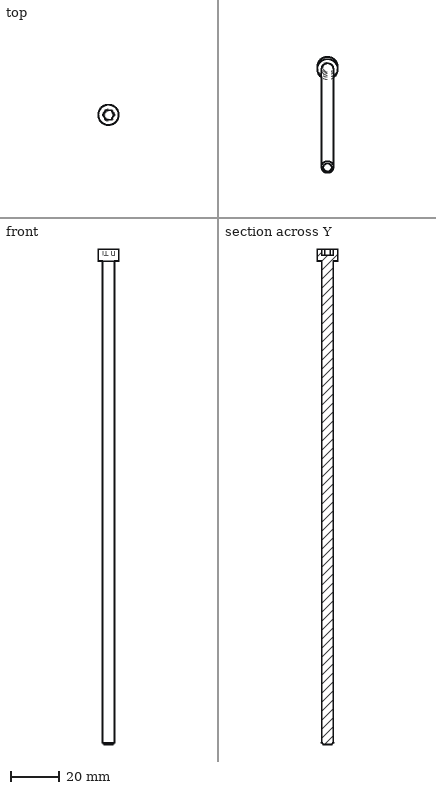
import cadquery as cq

HEAD_DIAMETER = 8.5
HEAD_HEIGHT = 5.0
SHANK_DIAMETER = 5.0
SHANK_LENGTH = 200.0
THREAD_LENGTH = 22.0
TIP_CHAMFER = 0.8
SOCKET_ACROSS_FLATS = 4.0
SOCKET_DEPTH = HEAD_HEIGHT / 2
HEX_SIDES = 6


def make_head():
    """Cylindrical head standing on Z = 0."""
    return cq.Workplane("XY").circle(HEAD_DIAMETER / 2).extrude(HEAD_HEIGHT)


def make_plain_shank():
    """Unthreaded part of the shank, just below the head."""
    return cq.Workplane("XY").circle(SHANK_DIAMETER / 2).extrude(THREAD_LENGTH - SHANK_LENGTH)


def make_threaded_end():
    """Threaded end at its major diameter, with a chamfered tip."""
    end = (
        cq.Workplane("XY")
        .workplane(offset=-SHANK_LENGTH)
        .circle(SHANK_DIAMETER / 2)
        .extrude(THREAD_LENGTH)
    )
    return end.faces("<Z").chamfer(TIP_CHAMFER)


def make_socket():
    """Hexagonal key socket, sunk from the top of the head with two flats facing +X and -X."""
    side_angle = 360 / HEX_SIDES
    return (
        cq.Workplane("XY")
        .workplane(offset=HEAD_HEIGHT - SOCKET_DEPTH)
        .transformed(rotate=(0, 0, side_angle / 2))
        .polygon(HEX_SIDES, SOCKET_ACROSS_FLATS, circumscribed=True)
        .extrude(SOCKET_DEPTH)
    )


screw = make_head().union(make_plain_shank())
screw = screw.union(make_threaded_end(), clean=False)
result = screw.cut(make_socket(), clean=False)